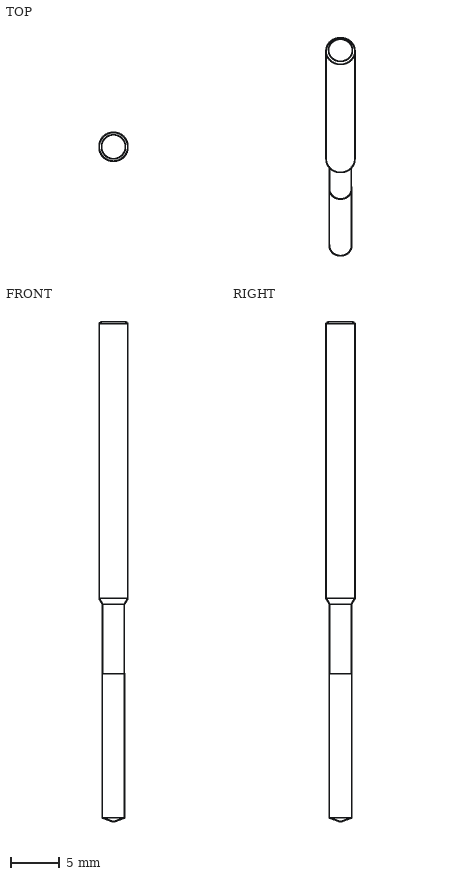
import cadquery as cq
import math

overall_length = 52.0
shank_diameter = 3.0
neck_diameter = 2.3
cutter_diameter = 2.35
cutter_length = 15.4
shoulder_height = 23.25
shoulder_half_angle = 30.0
point_angle = 140.0
end_chamfer_width = 0.25
end_chamfer_height = 0.2

shank_radius = shank_diameter / 2
neck_radius = neck_diameter / 2
cutter_radius = cutter_diameter / 2
point_height = cutter_radius / math.tan(math.radians(point_angle / 2))
taper_height = (shank_radius - neck_radius) / math.tan(math.radians(shoulder_half_angle))


def revolve_profile(points):
    """Turn a closed radius-height outline about the Z axis."""
    return cq.Workplane("XZ").polyline(points).close().revolve(360, (0, 0, 0), (0, 1, 0))


def make_shank():
    """Chamfered shank with a conical shoulder and a reduced neck."""
    return revolve_profile([
        (0, cutter_length),
        (neck_radius, cutter_length),
        (neck_radius, shoulder_height - taper_height),
        (shank_radius, shoulder_height),
        (shank_radius, overall_length - end_chamfer_height),
        (shank_radius - end_chamfer_width, overall_length),
        (0, overall_length),
    ])


def make_cutter():
    """Cylindrical cutting head with a conical drill point."""
    return revolve_profile([
        (0, 0),
        (cutter_radius, point_height),
        (cutter_radius, cutter_length),
        (0, cutter_length),
    ])


shank = make_shank()
cutter = make_cutter()
result = cq.Compound.makeCompound([shank.val(), cutter.val()])